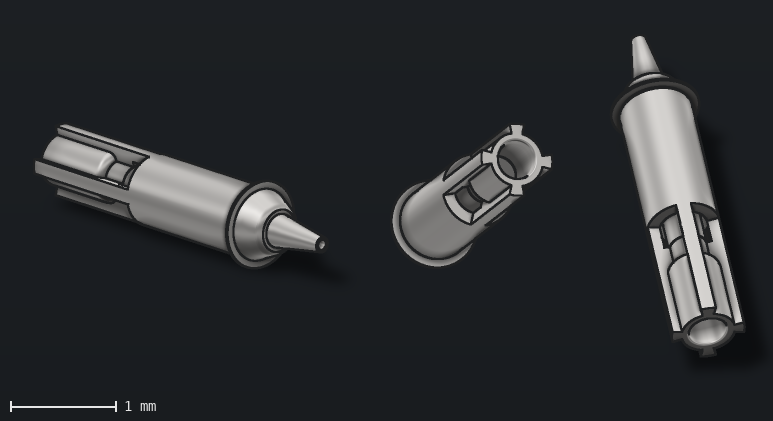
import cadquery as cq

total_length = 3.69
socket_shoulder_start = 0.745
socket_shoulder_end = 0.823
gap_start = 1.07
slot_end = 1.32
gap_end = 1.525
body_end = 2.775
flange_start = 2.805
flange_end = 2.825
nose_end = 3.085

body_diameter = 0.7
socket_diameter = 0.515
neck_diameter = 0.358
core_diameter = 0.365
gap_diameter = 0.465
groove_start_diameter = 0.635
groove_end_diameter = 0.67
flange_diameter = 0.85
nose_face_diameter = 0.415
tip_base_diameter = 0.33
tip_end_diameter = 0.148
through_hole_diameter = 0.1

nose_round_start = 3.037
nose_round_diameter = 0.515

bore_diameter = 0.365
bore_floor_diameter = 0.358
bore_depth = 0.665
bore_mouth_round = 0.025

rib_count = 4
rib_angle = 24

body_radius = body_diameter / 2
socket_radius = socket_diameter / 2
neck_radius = neck_diameter / 2
gap_radius = gap_diameter / 2


def make_body():
    """Revolve the full outer outline: barrel, conical groove, flange, nose and tip."""
    nose_face_radius = nose_face_diameter / 2
    profile = (
        cq.Workplane("XY")
        .moveTo(0, 0)
        .lineTo(0, body_radius)
        .lineTo(body_end, body_radius)
        .lineTo(body_end, groove_start_diameter / 2)
        .lineTo(flange_start, groove_end_diameter / 2)
        .lineTo(flange_start, flange_diameter / 2)
        .lineTo(flange_end, flange_diameter / 2)
        .lineTo(flange_end, body_radius)
        .lineTo(nose_round_start, nose_round_diameter / 2)
        .tangentArcPoint((nose_end, nose_face_radius), relative=False)
        .lineTo(nose_end, tip_base_diameter / 2)
        .lineTo(total_length, tip_end_diameter / 2)
        .lineTo(total_length, 0)
        .close()
    )
    return profile.revolve(360, (0, 0, 0), (1, 0, 0))


def make_slot(middle_angle):
    """Sector removed between two ribs, leaving the rounded socket and the neck."""
    shoulder_round = socket_radius - neck_radius
    sweep = 360 / rib_count - rib_angle
    clearance_radius = flange_diameter / 2
    profile = (
        cq.Workplane("XY")
        .moveTo(0, socket_radius)
        .lineTo(socket_shoulder_start, socket_radius)
        .radiusArc((socket_shoulder_end, neck_radius), shoulder_round)
        .lineTo(gap_start, neck_radius)
        .lineTo(gap_start, gap_radius)
        .lineTo(slot_end, gap_radius)
        .lineTo(slot_end, clearance_radius)
        .lineTo(0, clearance_radius)
        .close()
    )
    sector = profile.revolve(sweep, (0, 0, 0), (1, 0, 0))
    return sector.rotate((0, 0, 0), (1, 0, 0), middle_angle - sweep / 2)


def make_ring_gap():
    """Annular clearance around the core, under the ribs and the front of the barrel."""
    return (
        cq.Workplane("YZ", origin=(gap_start, 0, 0))
        .circle(gap_radius)
        .circle(core_diameter / 2)
        .extrude(gap_end - gap_start)
    )


def make_bore():
    """Blind socket bore with a rounded mouth and a slightly smaller floor."""
    bore_radius = bore_diameter / 2
    floor_radius = bore_floor_diameter / 2
    floor_bevel = bore_radius - floor_radius
    profile = (
        cq.Workplane("XY")
        .moveTo(0, 0)
        .lineTo(0, bore_radius + bore_mouth_round)
        .radiusArc((bore_mouth_round, bore_radius), -bore_mouth_round)
        .lineTo(bore_depth - floor_bevel, bore_radius)
        .lineTo(bore_depth, floor_radius)
        .lineTo(bore_depth, 0)
        .close()
    )
    return profile.revolve(360, (0, 0, 0), (1, 0, 0))


def make_through_hole():
    """Small hole along the whole axis, from the socket floor out through the tip."""
    return cq.Workplane("YZ").circle(through_hole_diameter / 2).extrude(total_length)


result = make_body()
for index in range(rib_count):
    result = result.cut(make_slot((index + 0.5) * 360 / rib_count))
result = result.cut(make_ring_gap()).cut(make_bore()).cut(make_through_hole())